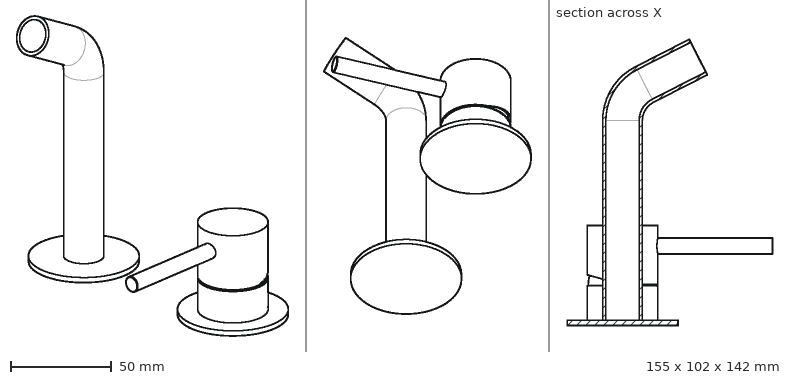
import cadquery as cq
import math

OVERALL_WIDTH = 155.0
FLANGE_DIAMETER = 55.0
FLANGE_THICKNESS = 2.8

SPOUT_DIAMETER = 20.0
SPOUT_WALL = 1.9
RISER_TOP_Z = 101.7
BEND_RADIUS = 20.0
BEND_ANGLE = 63.0
OUTLET_LENGTH = 29.9

MIXER_DIAMETER = 35.0
BASE_TOP_Z = 19.7
PIVOT_RADIUS = 17.0
HANDLE_GAP = 0.8
HANDLE_TOP_Z = 49.8
HANDLE_TILT = 15.0

LEVER_DIAMETER = 8.0
LEVER_Z = 39.5
LEVER_REACH = 74.5
LEVER_CHAMFER = 0.3

AXIS_SPACING = OVERALL_WIDTH - FLANGE_DIAMETER
SPOUT_X = -AXIS_SPACING / 2
MIXER_X = AXIS_SPACING / 2
HANDLE_BOTTOM_Z = BASE_TOP_Z + HANDLE_GAP
MIXER_RADIUS = MIXER_DIAMETER / 2


def make_flange(axis_x):
    """Round cover plate standing on z = 0."""
    plate = cq.Workplane("XY").circle(FLANGE_DIAMETER / 2).extrude(FLANGE_THICKNESS)
    return plate.translate((axis_x, 0, 0))


def arc_point(angle):
    """Point (y, z) on the bend centreline, measured from the riser top."""
    turn = math.radians(angle)
    y = -BEND_RADIUS * (1 - math.cos(turn))
    z = RISER_TOP_Z + BEND_RADIUS * math.sin(turn)
    return y, z


def make_spout():
    """Open tube: vertical riser, forward bend and straight outlet."""
    bend_end_y, bend_end_z = arc_point(BEND_ANGLE)
    turn = math.radians(BEND_ANGLE)
    outlet_y = bend_end_y - OUTLET_LENGTH * math.sin(turn)
    outlet_z = bend_end_z + OUTLET_LENGTH * math.cos(turn)
    centreline = (
        cq.Workplane("YZ")
        .moveTo(0, FLANGE_THICKNESS)
        .lineTo(0, RISER_TOP_Z)
        .threePointArc(arc_point(BEND_ANGLE / 2), (bend_end_y, bend_end_z))
        .lineTo(outlet_y, outlet_z)
    )
    outer_radius = SPOUT_DIAMETER / 2
    tube = (
        cq.Workplane("XY", origin=(0, 0, FLANGE_THICKNESS))
        .circle(outer_radius)
        .circle(outer_radius - SPOUT_WALL)
        .sweep(centreline)
    )
    return tube.translate((SPOUT_X, 0, 0))


def make_pivot():
    """Short round neck on the mixer base, domed by a hemisphere above the gap."""
    neck = (
        cq.Workplane("XY", origin=(MIXER_X, 0, BASE_TOP_Z))
        .circle(PIVOT_RADIUS)
        .extrude(HANDLE_GAP)
    )
    dome = cq.Workplane("XY", origin=(MIXER_X, 0, HANDLE_BOTTOM_Z)).sphere(PIVOT_RADIUS, angle1=0)
    return neck.union(dome)


def make_mixer_base():
    """Cylindrical base with the domed pivot standing on its top."""
    base = (
        cq.Workplane("XY", origin=(MIXER_X, 0, FLANGE_THICKNESS))
        .circle(MIXER_RADIUS)
        .extrude(BASE_TOP_Z - FLANGE_THICKNESS)
    )
    return base.union(make_pivot())


def make_lever():
    """Round rod pointing forward from the mixer axis, chamfered at its tip."""
    rod = (
        cq.Workplane("XZ", origin=(MIXER_X, 0, LEVER_Z))
        .circle(LEVER_DIAMETER / 2)
        .extrude(LEVER_REACH)
    )
    return rod.faces("<Y").chamfer(LEVER_CHAMFER)


def make_handle():
    """Rocking cap with its lever, a socket for the pivot and a sloping rear underside."""
    cap = (
        cq.Workplane("XY", origin=(MIXER_X, 0, HANDLE_BOTTOM_Z))
        .circle(MIXER_RADIUS)
        .extrude(HANDLE_TOP_Z - HANDLE_BOTTOM_Z)
    )
    wedge_length = MIXER_DIAMETER
    wedge_rise = wedge_length * math.tan(math.radians(HANDLE_TILT))
    rear_wedge = (
        cq.Workplane("YZ", origin=(MIXER_X, 0, HANDLE_BOTTOM_Z))
        .polyline([(0, 0), (wedge_length, 0), (wedge_length, wedge_rise)])
        .close()
        .extrude(MIXER_DIAMETER, both=True)
    )
    return cap.cut(rear_wedge).union(make_lever()).cut(make_pivot())


flanges = [make_flange(axis_x) for axis_x in (SPOUT_X, MIXER_X)]
spout = make_spout()
mixer_base = make_mixer_base()
handle = make_handle()

result = cq.Compound.makeCompound(
    [flange.val() for flange in flanges]
    + [body.solids().val() for body in (spout, mixer_base, handle)]
)